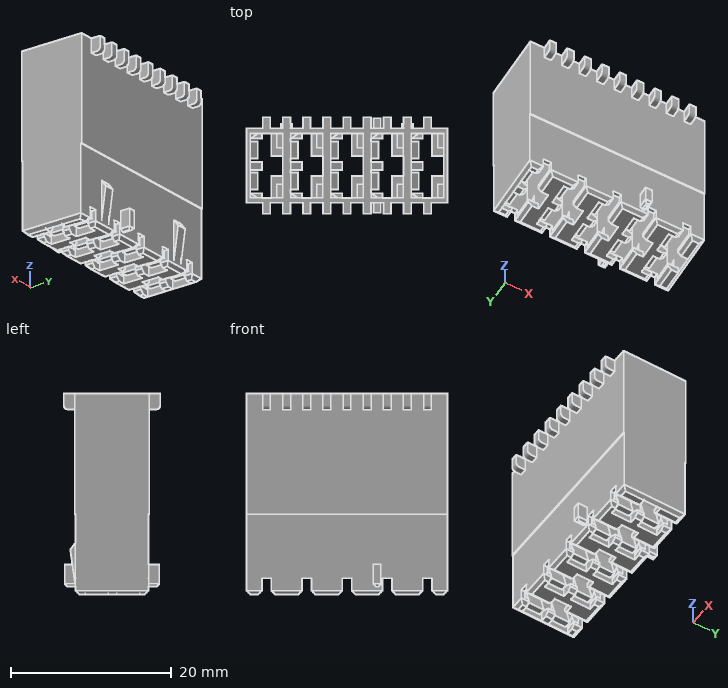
import cadquery as cq

length = 25
height = 25
upper_half_depth = 4.65
lower_half_depth = 4.55
shoulder_z = 10

cell_count = 5
pitch = length / cell_count
end_wall = 0.5
cell_width = pitch - 2 * end_wall
cell_front = -4.02
upper_cell_back = 4.02
lower_cell_back = 3.92
floor_thickness = 1
cell_centers = [(i - (cell_count - 1) / 2) * pitch for i in range(cell_count)]
divider_centers = [x + pitch / 2 for x in cell_centers[:-1]]
cell_mid_y = (cell_front + lower_cell_back) / 2

slot_width = 1.12
slot_height = 2
bottom_chamfer = 0.5

left_pad_depth = 0.6
middle_pad_width = 1.02
right_opening_width = 2.45

left_wedge = {"reach": 0.92, "width": 2.15, "rise": 3.5}
left_wedge_spacing = 3.85
right_wedge = {"reach": 0.75, "width": 1.7, "rise": 2.92}
gusset_reach = 0.85
gusset_rise = 2.5
middle_ramp_rise = 0.7

tab_tip_y = 6
cell_tab_width = 0.95
divider_tab_width = 2 * end_wall
tab_height = 2
tab_radius = 0.5

key_x = 3.75
key_width = 0.92
key_tip_y = 5.9
key_bottom = 1
key_top = 3.75
key_chamfer = 0.32

latch_spacing = 3 * pitch
latch_width = 1.45
latch_tip_y = 5.2
latch_bottom = 1
latch_tip_z = 5.58
latch_top = 6.45

overlap = 0.25


def block(x0, x1, y0, y1, z0, z1):
    """Axis-aligned box between two opposite corners."""
    return cq.Workplane("XY").box(x1 - x0, y1 - y0, z1 - z0, centered=False).translate((x0, y0, z0))


def outer_body():
    """Stepped block with through slots and a chamfer around every foot."""
    half = length / 2
    body = block(-half, half, -lower_half_depth, lower_half_depth, 0, shoulder_z)
    for x in cell_centers:
        half_slot = slot_width / 2
        body = body.cut(
            block(x - half_slot, x + half_slot, -lower_half_depth, lower_half_depth, 0, slot_height)
        )
    body = body.faces("<Z").edges().chamfer(bottom_chamfer)
    return body.union(block(-half, half, -upper_half_depth, upper_half_depth, shoulder_z, height))


def cell_cavity(x):
    """Space removed for one cell: the cavity and the openings in its floor."""
    left = x - cell_width / 2
    right = x + cell_width / 2
    cavity = block(left, right, cell_front, lower_cell_back, floor_thickness, shoulder_z)
    cavity = cavity.union(block(left, right, cell_front, upper_cell_back, shoulder_z, height))

    half_opening = right_opening_width / 2
    cavity = cavity.union(
        block(x, right, cell_mid_y - half_opening, cell_mid_y + half_opening, 0, floor_thickness)
    )
    half_pad = middle_pad_width / 2
    left_openings = [
        (cell_front + left_pad_depth, cell_mid_y - half_pad),
        (cell_mid_y + half_pad, lower_cell_back - left_pad_depth),
    ]
    for y0, y1 in left_openings:
        cavity = cavity.union(block(left, x, y0, y1, 0, floor_thickness))
    return cavity


def wedge(wall_x, direction, reach, rise, y_center, width):
    """Ramp that falls from a wall; direction is +1 or -1 along X, away from the wall."""
    back_x = wall_x - direction * overlap
    profile = [
        (back_x, floor_thickness),
        (wall_x + direction * reach, floor_thickness),
        (wall_x, floor_thickness + rise),
        (back_x, floor_thickness + rise),
    ]
    ramp = cq.Workplane("XZ").polyline(profile).close().extrude(width / 2, both=True)
    return ramp.translate((0, y_center, 0))


def gusset(corner_x, corner_y, inward):
    """Three-sided corner wedge running to a point; inward is +1 or -1 along Y."""
    base = cq.Vector(corner_x, corner_y, floor_thickness)
    along_x = base + cq.Vector(gusset_reach, 0, 0)
    along_y = base + cq.Vector(0, inward * left_pad_depth, 0)
    tip = base + cq.Vector(0, 0, gusset_rise)
    triangles = [
        (base, along_x, along_y),
        (base, along_x, tip),
        (base, along_y, tip),
        (along_x, along_y, tip),
    ]
    faces = [cq.Face.makeFromWires(cq.Wire.makePolygon(t, close=True)) for t in triangles]
    return cq.Workplane(obj=cq.Solid.makeSolid(cq.Shell.makeShell(faces)))


def cell_guides(x):
    """Sloped guides inside one cell."""
    left = x - cell_width / 2
    right = x + cell_width / 2
    ramp_reach = (cell_width - slot_width) / 2
    guides = [
        wedge(left, 1, ramp_reach, middle_ramp_rise, cell_mid_y, middle_pad_width),
        gusset(left, cell_front, 1),
        gusset(left, lower_cell_back, -1),
    ]
    for y in (-left_wedge_spacing / 2, left_wedge_spacing / 2):
        guides.append(wedge(left, 1, left_wedge["reach"], left_wedge["rise"], y, left_wedge["width"]))
    half_width = right_wedge["width"] / 2
    for y in (cell_front + half_width, lower_cell_back - half_width):
        guides.append(wedge(right, -1, right_wedge["reach"], right_wedge["rise"], y, right_wedge["width"]))
    return guides


def rim_tab(x, width, side):
    """Tab on the top rim with a rounded lower tip; side is +1 or -1 along Y."""
    tab = block(
        x - width / 2, x + width / 2,
        upper_half_depth - overlap, tab_tip_y,
        height - tab_height, height,
    )
    tab = tab.edges(">Y and <Z").fillet(tab_radius)
    return tab if side > 0 else tab.mirror("XZ")


def key(side):
    """Key block whose lower end is chamfered on its free edges; side is +1 or -1 along Y."""
    rib = block(
        key_x - key_width / 2, key_x + key_width / 2,
        lower_half_depth - overlap, key_tip_y,
        key_bottom, key_top,
    )
    rib = rib.faces("<Z").edges(">Y or <X or >X").chamfer(key_chamfer)
    return rib if side > 0 else rib.mirror("XZ")


def latch(x):
    """Bump on the back wall: long lead-in below, short slope above."""
    root_y = lower_half_depth - overlap
    profile = [
        (root_y, latch_bottom),
        (lower_half_depth, latch_bottom),
        (latch_tip_y, latch_tip_z),
        (lower_half_depth, latch_top),
        (root_y, latch_top),
    ]
    bump = cq.Workplane("YZ").polyline(profile).close().extrude(latch_width / 2, both=True)
    return bump.translate((x, 0, 0))


result = outer_body()
for x in cell_centers:
    result = result.cut(cell_cavity(x))
for x in cell_centers:
    for guide in cell_guides(x):
        result = result.union(guide)
for side in (-1, 1):
    for x in cell_centers:
        result = result.union(rim_tab(x, cell_tab_width, side))
    for x in divider_centers:
        result = result.union(rim_tab(x, divider_tab_width, side))
    result = result.union(key(side))
for x in (-latch_spacing / 2, latch_spacing / 2):
    result = result.union(latch(x))